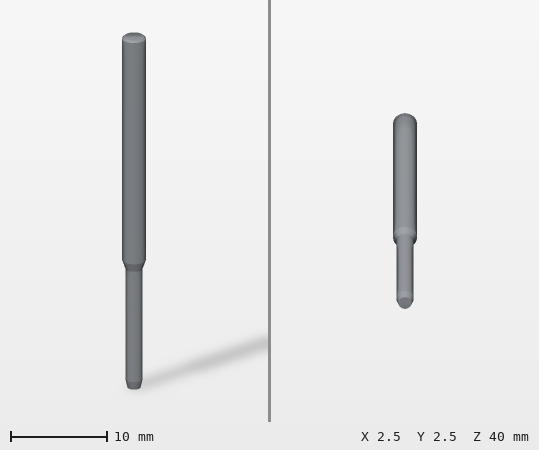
import cadquery as cq

total_length = 40.0
split_height = 8.05
shank_bottom = 14.55

shank_diameter = 2.5
top_chamfer_width = 0.2
top_chamfer_height = 0.2

neck_diameter = 1.8
cone_height = 1.0

tip_end_diameter = 1.35
tip_height = 0.95

shank_radius = shank_diameter / 2
neck_radius = neck_diameter / 2
tip_end_radius = tip_end_diameter / 2


def turned_body(outline):
    """Revolve an open outline, closed along the Z axis, about that axis."""
    return outline.close().revolve(360, (0, 0), (0, 1))


def make_holder():
    """Upper body: chamfered shank, cone and upper part of the neck."""
    outline = (
        cq.Workplane("XZ")
        .moveTo(0, split_height)
        .lineTo(neck_radius, split_height)
        .lineTo(neck_radius, shank_bottom - cone_height)
        .lineTo(shank_radius, shank_bottom)
        .lineTo(shank_radius, total_length - top_chamfer_height)
        .lineTo(shank_radius - top_chamfer_width, total_length)
        .lineTo(0, total_length)
    )
    return turned_body(outline)


def make_working_end():
    """Lower body: straight rod of the neck's diameter with a tapered tip."""
    outline = (
        cq.Workplane("XZ")
        .moveTo(0, 0)
        .lineTo(tip_end_radius, 0)
        .lineTo(neck_radius, tip_height)
        .lineTo(neck_radius, split_height)
        .lineTo(0, split_height)
    )
    return turned_body(outline)


holder = make_holder()
working_end = make_working_end()

result = cq.Compound.makeCompound([holder.val(), working_end.val()])